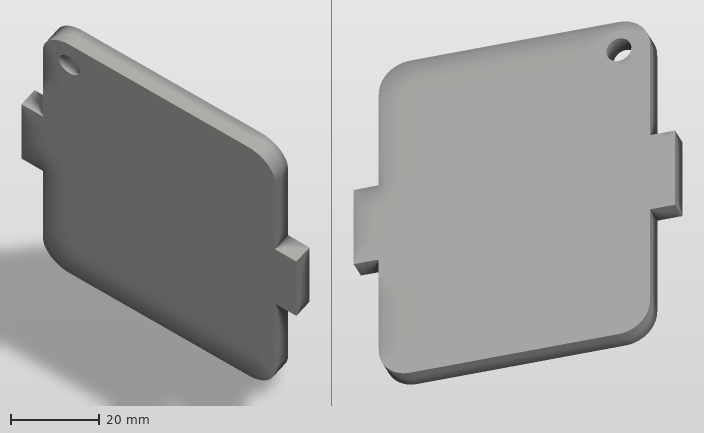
import cadquery as cq

plate_width = 65.0
plate_height = 84.0
thickness = 5.0
corner_radius = 7.5

overall_width = 77.0
tab_height = 20.0

hole_diameter = 6.0
hole_x = -plate_width / 2 + corner_radius
hole_z = plate_height / 2 - corner_radius

plate = (
    cq.Workplane("XY")
    .box(plate_width, thickness, plate_height)
    .edges("|Y")
    .fillet(corner_radius)
)

tab_bar = cq.Workplane("XY").box(overall_width, thickness, tab_height)

hole = (
    cq.Workplane("XZ")
    .center(hole_x, hole_z)
    .circle(hole_diameter / 2)
    .extrude(thickness, both=True)
)

result = plate.union(tab_bar).cut(hole)